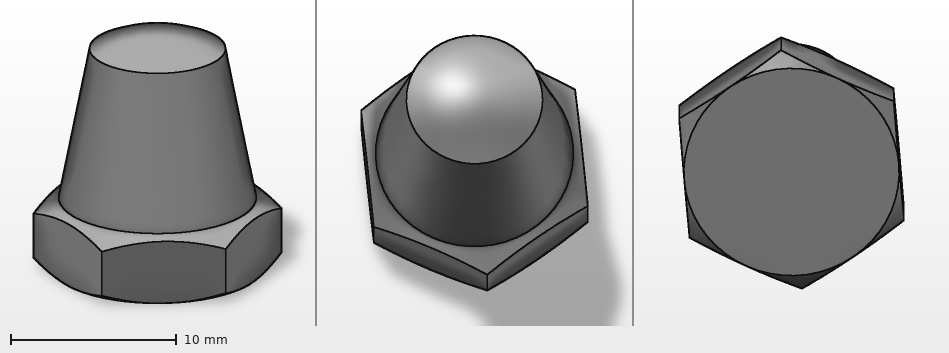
import cadquery as cq
import math

across_flats = 13.0
across_corners = across_flats / math.cos(math.radians(30))
corner_radius = across_corners / 2
bottom_radius = across_flats / 2
chamfer_slope = math.tan(math.radians(30))

total_height = 15.0
cap_base_height = 4.32
cap_base_radius = 5.97
dome_base_height = 13.99
dome_base_radius = 4.11

lower_corner_height = (corner_radius - bottom_radius) * chamfer_slope
upper_corner_height = cap_base_height - (corner_radius - cap_base_radius) * chamfer_slope

dome_rise = total_height - dome_base_height
sphere_radius = (dome_base_radius**2 + dome_rise**2) / (2 * dome_rise)
dome_half_angle = math.asin(dome_base_radius / sphere_radius) / 2
dome_mid_radius = sphere_radius * math.sin(dome_half_angle)
dome_mid_height = total_height - sphere_radius * (1 - math.cos(dome_half_angle))


def turned_envelope():
    """Round body holding the chamfers, the tapered cap and the dome."""
    profile = (
        cq.Workplane("XZ")
        .lineTo(bottom_radius, 0)
        .lineTo(corner_radius, lower_corner_height)
        .lineTo(corner_radius, upper_corner_height)
        .lineTo(cap_base_radius, cap_base_height)
        .lineTo(dome_base_radius, dome_base_height)
        .threePointArc((dome_mid_radius, dome_mid_height), (0, total_height))
        .close()
    )
    return profile.revolve(360, (0, 0, 0), (0, 1, 0))


def hexagonal_bar():
    """Full-height hexagon with corners on the Y axis and flats facing X."""
    return (
        cq.Workplane("XY")
        .transformed(rotate=(0, 0, 90))
        .polygon(6, across_corners)
        .extrude(total_height)
    )


result = turned_envelope().intersect(hexagonal_bar())